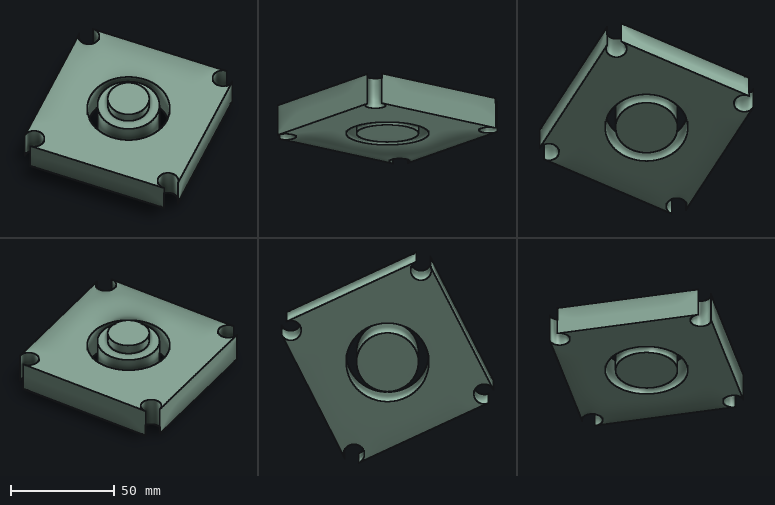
import cadquery as cq

plate_side = 80.0
plate_thickness = 15.0
window_diameter = 40.0
scallop_diameter = 10.0

collar_diameter = 30.0
collar_rise = 2.5
tip_diameter = 20.0
tip_height = 5.0

half_side = plate_side / 2
scallop_radius = scallop_diameter / 2
scallop_center = half_side - scallop_radius
collar_height = plate_thickness + collar_rise


def make_corner_cutter(x_sign, y_sign):
    """Round hole touching two plate edges, plus the corner square outside it."""
    x, y = x_sign * scallop_center, y_sign * scallop_center
    hole = cq.Workplane("XY").center(x, y).circle(scallop_radius).extrude(plate_thickness)
    corner = (
        cq.Workplane("XY")
        .center(x + x_sign * scallop_radius / 2, y + y_sign * scallop_radius / 2)
        .rect(scallop_radius, scallop_radius)
        .extrude(plate_thickness)
    )
    return hole.union(corner)


def make_plate():
    plate = (
        cq.Workplane("XY")
        .rect(plate_side, plate_side)
        .circle(window_diameter / 2)
        .extrude(plate_thickness)
    )
    for x_sign in (-1, 1):
        for y_sign in (-1, 1):
            plate = plate.cut(make_corner_cutter(x_sign, y_sign))
    return plate


def make_pin():
    collar = cq.Workplane("XY").circle(collar_diameter / 2).extrude(collar_height)
    return collar.faces(">Z").workplane().circle(tip_diameter / 2).extrude(tip_height)


plate = make_plate()
pin = make_pin()

result = cq.Compound.makeCompound([plate.solids().val(), pin.solids().val()])